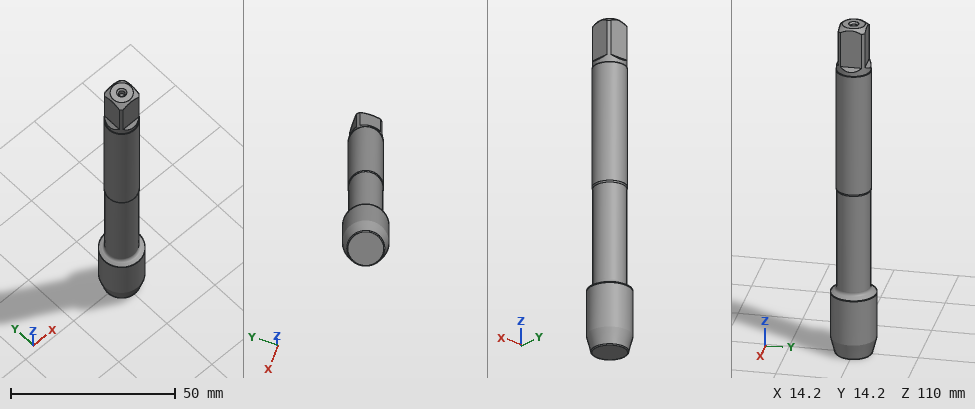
import cadquery as cq
import math

TOTAL_LENGTH = 110.0
TIP_TAPER_TOP = 5.4
HEAD_TOP = 20.1
FOOT_BEVEL_BOTTOM = 20.5
FLARE_BOTTOM = 21.0
NECK_BOTTOM = 22.3
NECK_TOP = 54.6
GRIP_TOP = 94.8
FLAT_BOTTOM = 97.2
TIP_CHAMFER = 0.3
GRIP_BOTTOM_CHAMFER_HEIGHT = 0.5
GRIP_TOP_CHAMFER_HEIGHT = 0.2
END_CHAMFER_HEIGHT = 1.4

HEAD_DIAMETER = 14.2
FLARE_DIAMETER = 12.1
TIP_DIAMETER = 11.5
NECK_DIAMETER = 10.5
GRIP_DIAMETER = 10.9
COLLAR_DIAMETER = 10.6
END_FACE_DIAMETER = 7.0

SQUARE_WIDTH = 8.2
CENTRE_DIAMETER = 2.0
COUNTERSINK_DIAMETER = 3.1
CENTRE_DEPTH = 2.2
DRILL_POINT_DEPTH = 0.5


def revolve_profile(points):
    """Revolve (radius, height) points about the Z axis."""
    return cq.Workplane("XZ").polyline(points).close().revolve(360, (0, 0), (0, 1))


def make_cutting_head():
    """Chamfered tip, taper and full cylinder with a flat upper end."""
    return revolve_profile([
        (0, 0),
        (TIP_DIAMETER / 2 - TIP_CHAMFER, 0),
        (TIP_DIAMETER / 2, TIP_CHAMFER),
        (HEAD_DIAMETER / 2, TIP_TAPER_TOP),
        (HEAD_DIAMETER / 2, HEAD_TOP),
        (0, HEAD_TOP),
    ])


def make_shank_blank():
    """Bevelled foot, concave flare, round neck, grip and collar."""
    neck_radius = NECK_DIAMETER / 2
    flare_outer = FLARE_DIAMETER / 2
    quarter_turn_sag = 1 - math.sqrt(0.5)
    flare_middle = (
        neck_radius + (flare_outer - neck_radius) * quarter_turn_sag,
        FLARE_BOTTOM + (NECK_BOTTOM - FLARE_BOTTOM) * quarter_turn_sag,
    )
    return (
        cq.Workplane("XZ")
        .moveTo(0, HEAD_TOP)
        .lineTo(HEAD_DIAMETER / 2, HEAD_TOP)
        .lineTo(HEAD_DIAMETER / 2, FOOT_BEVEL_BOTTOM)
        .lineTo(flare_outer, FLARE_BOTTOM)
        .threePointArc(flare_middle, (neck_radius, NECK_BOTTOM))
        .lineTo(neck_radius, NECK_TOP)
        .lineTo(GRIP_DIAMETER / 2, NECK_TOP + GRIP_BOTTOM_CHAMFER_HEIGHT)
        .lineTo(GRIP_DIAMETER / 2, GRIP_TOP - GRIP_TOP_CHAMFER_HEIGHT)
        .lineTo(COLLAR_DIAMETER / 2, GRIP_TOP)
        .lineTo(COLLAR_DIAMETER / 2, TOTAL_LENGTH - END_CHAMFER_HEIGHT)
        .lineTo(END_FACE_DIAMETER / 2, TOTAL_LENGTH)
        .lineTo(0, TOTAL_LENGTH)
        .close()
        .revolve(360, (0, 0), (0, 1))
    )


def make_flat_cutter():
    """Material beside one drive flat, with a 45 degree run-out below it."""
    flat = SQUARE_WIDTH / 2
    outside = HEAD_DIAMETER / 2
    return (
        cq.Workplane("XZ")
        .polyline([
            (flat, TOTAL_LENGTH),
            (flat, FLAT_BOTTOM),
            (outside, FLAT_BOTTOM - (outside - flat)),
            (outside, TOTAL_LENGTH),
        ])
        .close()
        .extrude(outside, both=True)
    )


def make_centre_hole():
    """Countersunk centre hole with a conical drill point."""
    hole_radius = CENTRE_DIAMETER / 2
    countersink_radius = COUNTERSINK_DIAMETER / 2
    countersink_depth = countersink_radius - hole_radius
    return revolve_profile([
        (0, TOTAL_LENGTH),
        (countersink_radius, TOTAL_LENGTH),
        (hole_radius, TOTAL_LENGTH - countersink_depth),
        (hole_radius, TOTAL_LENGTH - CENTRE_DEPTH),
        (0, TOTAL_LENGTH - CENTRE_DEPTH - DRILL_POINT_DEPTH),
    ])


def make_shank():
    """Shank with its four drive flats and centre hole."""
    shank = make_shank_blank()
    flat_cutter = make_flat_cutter()
    for angle in (0, 90, 180, 270):
        shank = shank.cut(flat_cutter.rotate((0, 0, 0), (0, 0, 1), angle))
    return shank.cut(make_centre_hole())


cutting_head = make_cutting_head()
shank = make_shank()
result = cq.Compound.makeCompound([cutting_head.val(), shank.val()])